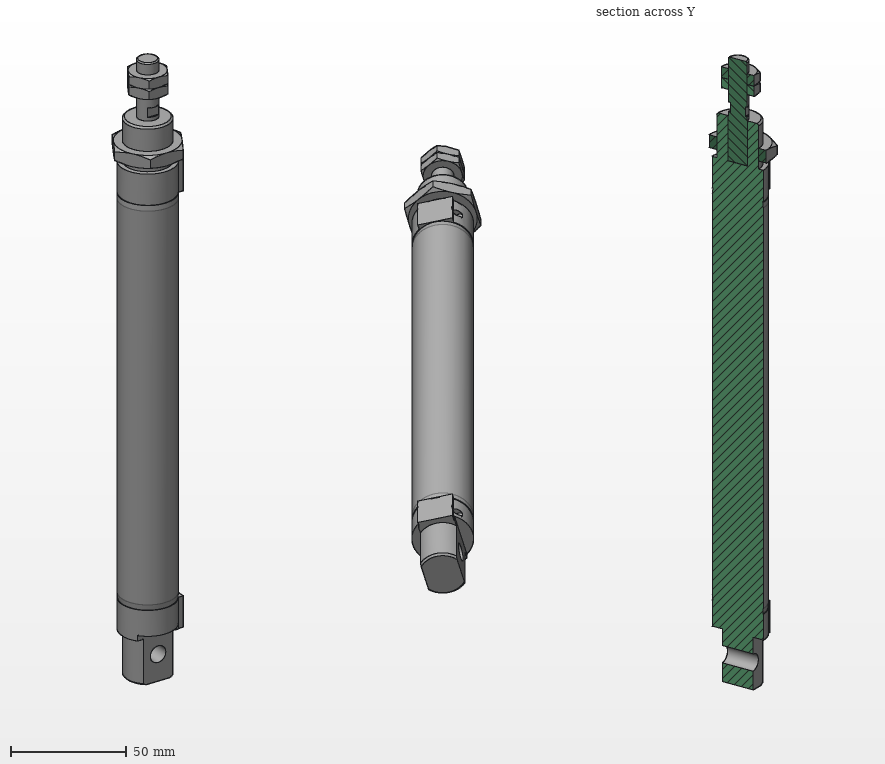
import cadquery as cq
import math


lug_flat_top_z = 25.0
rear_cap_bottom_z = 22.5
rear_cap_top_z = 37.7
front_cap_bottom_z = 234.0
shoulder_z = 249.5
neck_top_z = 271.0
rod_top_z = 299.0

cap_dia = 27.0
tube_dia = 27.0
tube_end_dia = 26.3
taper_length = 2.7
neck_dia = 22.0
neck_chamfer = 1.0
lug_thickness = 16.0
lug_chamfer = 1.0
lug_hole_dia = 8.0
lug_hole_z = 13.2

pad_width = 15.5
screw_hole_dia = 3.5
screw_hole_x = -9.3
screw_hole_floor_y = 7.8
screw_hole_heights = [29.0, 241.5]

rod_dia = 10.0
rod_tip_chamfer = 0.5
rod_flat_width = 8.0
rod_flat_bottom_z = 272.7
rod_flat_top_z = 277.2

mounting_nut_width = 30.0
mounting_nut_height = 6.3
mounting_nut_z = 253.0
rod_nut_width = 17.0
rod_nut_height = 5.0
rod_nut_z = 283.2
rod_nut_count = 2
nut_chamfer_angle = 25

cap_radius = cap_dia / 2
tube_radius = tube_dia / 2
tube_end_radius = tube_end_dia / 2
neck_radius = neck_dia / 2


def cylinder(diameter, bottom_z, top_z):
    """Cylinder on the Z axis between two heights."""
    return cq.Workplane("XY", origin=(0, 0, bottom_z)).circle(diameter / 2).extrude(top_z - bottom_z)


def revolve_profile(points):
    """Solid of revolution about the Z axis from (radius, height) points."""
    return cq.Workplane("XZ").polyline(points).close().revolve(360, (0, 0), (0, 1))


def side_slabs(thickness, bottom_z, top_z):
    """Two slabs that leave a pair of X-facing flats `thickness` apart."""
    slab_size = cap_dia
    offset = (thickness + slab_size) / 2
    return (
        cq.Workplane("XY", origin=(0, 0, bottom_z))
        .pushPoints([(-offset, 0), (offset, 0)])
        .rect(slab_size, slab_size)
        .extrude(top_z - bottom_z)
    )


def make_shell():
    """Turned outline of the housing, from the lug up to the neck."""
    profile = [
        (0, 0),
        (neck_radius - lug_chamfer, 0),
        (neck_radius, lug_chamfer),
        (neck_radius, rear_cap_bottom_z),
        (cap_radius, rear_cap_bottom_z),
        (cap_radius, rear_cap_top_z),
        (tube_end_radius, rear_cap_top_z),
        (tube_radius, rear_cap_top_z + taper_length),
        (tube_radius, front_cap_bottom_z - taper_length),
        (tube_end_radius, front_cap_bottom_z),
        (cap_radius, front_cap_bottom_z),
        (cap_radius, shoulder_z),
        (neck_radius, shoulder_z),
        (neck_radius, neck_top_z - neck_chamfer),
        (neck_radius - neck_chamfer, neck_top_z),
        (0, neck_top_z),
    ]
    return revolve_profile(profile)


def make_pad(bottom_z, top_z):
    """Flat-faced block that squares off the +Y side of a cap."""
    return (
        cq.Workplane("XY", origin=(0, cap_radius / 2, bottom_z))
        .rect(pad_width, cap_radius)
        .extrude(top_z - bottom_z)
    )


def make_screw_hole(height):
    """Cutter for a hole along Y that breaks out through the side of a cap."""
    return (
        cq.Workplane("XZ", origin=(0, screw_hole_floor_y, 0))
        .center(screw_hole_x, height)
        .circle(screw_hole_dia / 2)
        .extrude(screw_hole_floor_y - cap_radius)
    )


def make_housing():
    housing = make_shell()
    housing = housing.union(make_pad(rear_cap_bottom_z, rear_cap_top_z))
    housing = housing.union(make_pad(front_cap_bottom_z, shoulder_z))
    for height in screw_hole_heights:
        housing = housing.cut(make_screw_hole(height))
    housing = housing.cut(side_slabs(lug_thickness, 0, lug_flat_top_z))
    lug_hole = (
        cq.Workplane("YZ").center(0, lug_hole_z).circle(lug_hole_dia / 2).extrude(lug_thickness, both=True)
    )
    rod_bore = cylinder(rod_dia, shoulder_z, neck_top_z)
    return housing.cut(lug_hole).cut(rod_bore)


def make_rod():
    """Rod seated in the neck, with two wrench flats and a chamfered tip."""
    rod = cylinder(rod_dia, shoulder_z, rod_top_z).faces(">Z").chamfer(rod_tip_chamfer)
    return rod.cut(side_slabs(rod_flat_width, rod_flat_bottom_z, rod_flat_top_z))


def make_nut(width, height, bore_dia, bottom_z):
    """Hexagon nut with corners on the Y axis, corners chamfered on both faces."""
    hexagon = (
        cq.Workplane("XY", origin=(0, 0, bottom_z))
        .polygon(6, width, circumscribed=True)
        .extrude(height)
    )
    corner_radius = width / math.sqrt(3)
    chamfer_radius = width / 2
    chamfer_rise = (corner_radius - chamfer_radius) * math.tan(math.radians(nut_chamfer_angle))
    envelope_profile = [
        (0, bottom_z),
        (chamfer_radius, bottom_z),
        (corner_radius, bottom_z + chamfer_rise),
        (corner_radius, bottom_z + height - chamfer_rise),
        (chamfer_radius, bottom_z + height),
        (0, bottom_z + height),
    ]
    envelope = revolve_profile(envelope_profile)
    return hexagon.intersect(envelope).cut(cylinder(bore_dia, bottom_z, bottom_z + height))


housing = make_housing()
rod = make_rod()
mounting_nut = make_nut(mounting_nut_width, mounting_nut_height, neck_dia, mounting_nut_z)
rod_nuts = []
for i in range(rod_nut_count):
    rod_nuts.append(make_nut(rod_nut_width, rod_nut_height, rod_dia, rod_nut_z + i * rod_nut_height).val())

result = cq.Compound.makeCompound([housing.val(), rod.val(), mounting_nut.val(), *rod_nuts])